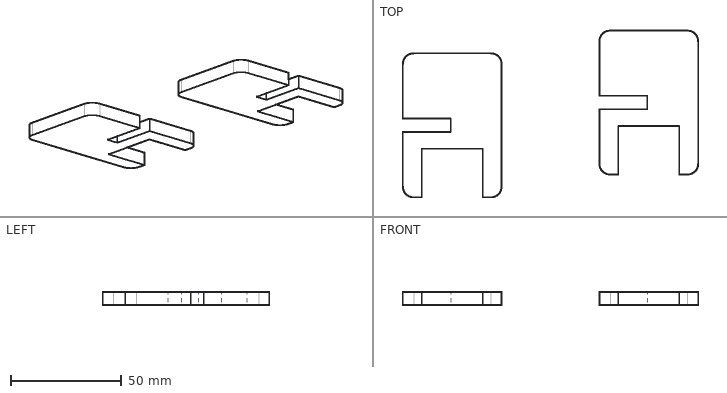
import cadquery as cq

plate_width = 45.0
plate_length = 65.5
thickness = 6.0
corner_radius = 5.0

slot_depth = 21.7
slot_width = thickness
slot_bottom = 29.8

leg_width = 8.7
notch_width = plate_width - 2 * leg_width
notch_depth = 22.0

overall_width = 134.2
overall_length = 75.8
shift_x = overall_width - plate_width
shift_y = overall_length - plate_length
plate_corners = [(0, 0), (shift_x, shift_y)]


def box_from_corner(x, y, width, length):
    """Full-thickness block whose lowest corner is at (x, y, 0)."""
    return cq.Workplane("XY").box(width, length, thickness, centered=False).translate((x, y, 0))


def make_plate(x, y):
    """Rounded plate with a side slot and an end notch, its corner at (x, y)."""
    blank = box_from_corner(0, 0, plate_width, plate_length).edges("|Z").fillet(corner_radius)
    slot = box_from_corner(0, slot_bottom, slot_depth, slot_width)
    notch = box_from_corner(leg_width, 0, notch_width, notch_depth)
    return blank.cut(slot).cut(notch).translate((x, y, 0))


plates = [make_plate(x, y) for x, y in plate_corners]

result = cq.Compound.makeCompound([plate.solids().val() for plate in plates])